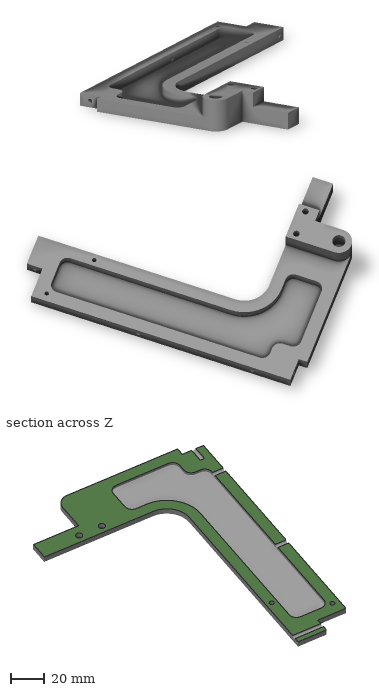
import cadquery as cq

length = 181
arm_reach = 132.1
leg_width = 39.8
arm_back = 39.1
inner_radius = 16.0
plate_thickness = 8.1
top_notch = (19.7, 10.0)
bottom_notch = (14.8, 5.5)

height = 19.5
lug_left = 84.5
lug_width = 16.0
lug_radius = lug_width / 2
lug_center_x = lug_left + lug_radius
lug_right = lug_left + lug_width
raised_right = 108.0
tongue_front = 26.0
tongue_height = 10.5

rim = 7.8
pocket_floor = 2.0
pocket_top = 162.7
pocket_right = 67.9
pocket_front = 8.1
pocket_step = (21.4, 23.0)
pocket_corner_radius = 5.0

small_hole = 2.7
lug_bolt_hole = 4.0
lug_bolt_inset = 4.0
lug_bolt_y = 33.7
pivot_hole = 8.0
pivot_depth = 12.0
plate_holes = [(4.9, 162.9), (35.8, 143.7)]
lug_bolt_holes = [(lug_left + lug_bolt_inset, lug_bolt_y), (lug_right + lug_bolt_inset, lug_bolt_y)]
side_hole_z = plate_thickness / 2
tab_hole_y = 176.0
rim_hole_ys = [30.0, 103.0]
front_hole_x = 6.9
front_hole_depth = 10.0


def make_plate():
    outline = (
        cq.Workplane("XY")
        .moveTo(0, bottom_notch[1])
        .lineTo(bottom_notch[0], bottom_notch[1])
        .lineTo(bottom_notch[0], 0)
        .lineTo(lug_center_x, 0)
        .lineTo(lug_center_x, arm_back)
        .lineTo(leg_width + inner_radius, arm_back)
        .radiusArc((leg_width, arm_back + inner_radius), inner_radius)
        .lineTo(leg_width, length)
        .lineTo(top_notch[0], length)
        .lineTo(top_notch[0], length - top_notch[1])
        .lineTo(0, length - top_notch[1])
        .close()
    )
    return outline.extrude(plate_thickness)


def make_block(x_start, x_end, y_start, block_height):
    """Block from the base plane, ending at the back edge of the arm."""
    size = (x_end - x_start, arm_back - y_start, block_height)
    return cq.Workplane("XY").box(*size, centered=False).translate((x_start, y_start, 0))


def make_lug():
    rounded_end = cq.Workplane("XY").center(lug_center_x, lug_radius).circle(lug_radius).extrude(height)
    body = make_block(lug_left, lug_right, lug_radius, height)
    raised_back = make_block(lug_left, raised_right, tongue_front, height)
    tongue = make_block(lug_left, arm_reach, tongue_front, tongue_height)
    return rounded_end.union(body).union(raised_back).union(tongue)


def make_pocket():
    right = leg_width - rim
    back = arm_back - rim
    bend_radius = inner_radius + rim
    corners = [
        (rim, pocket_step[1]),
        pocket_step,
        (pocket_step[0], pocket_front),
        (pocket_right, pocket_front),
        (pocket_right, back),
        (right, back),
        (right, pocket_top),
        (rim, pocket_top),
    ]
    depth = height - pocket_floor
    pocket = cq.Workplane("XY").workplane(offset=pocket_floor).polyline(corners).close().extrude(depth)
    bend_edge = cq.selectors.NearestToPointSelector((right, back, pocket_floor + depth / 2))
    bend = pocket.edges("|Z").edges(bend_edge)
    corner_edges = pocket.edges("|Z").filter(lambda edge: not edge.isSame(bend.val()))
    pocket = corner_edges.fillet(pocket_corner_radius)
    return pocket.edges("|Z").edges(bend_edge).fillet(bend_radius)


def drill(start, direction, diameter, depth):
    return cq.Workplane(cq.Solid.makeCylinder(diameter / 2, depth, cq.Vector(*start), cq.Vector(*direction)))


result = make_plate().cut(make_pocket()).union(make_lug())

for x, y in plate_holes:
    result = result.cut(drill((x, y, 0), (0, 0, 1), small_hole, plate_thickness))
for x, y in lug_bolt_holes:
    result = result.cut(drill((x, y, 0), (0, 0, 1), lug_bolt_hole, height))
result = result.cut(drill((lug_center_x, lug_radius, height), (0, 0, -1), pivot_hole, pivot_depth))

result = result.cut(drill((0, tab_hole_y, side_hole_z), (1, 0, 0), small_hole, leg_width))
for y in rim_hole_ys:
    result = result.cut(drill((0, y, side_hole_z), (1, 0, 0), small_hole, rim + small_hole))

front_hole_start = (front_hole_x, bottom_notch[1], side_hole_z)
result = result.cut(drill(front_hole_start, (0, 1, 0), small_hole, front_hole_depth))